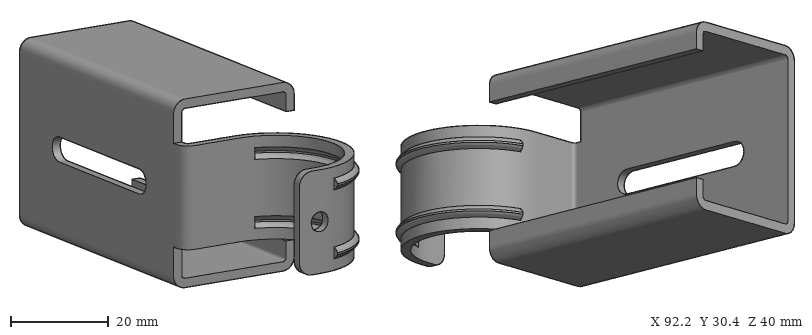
import cadquery as cq
import math

thickness = 2.0
bend_inner = 0.8
bend_outer = bend_inner + thickness

rail_length = 58.0
rail_height = 40.0
lip_height = 6.3

slot_spacing = 30.0
slot_width = 5.3
slot_center_x = 30.0

strap_width = 22.0
tongue_length = 1.0
leg_outer_x = rail_length + tongue_length + bend_inner
leg_inner_x = leg_outer_x + thickness
hook_inner_radius = 14.0
hook_outer_radius = hook_inner_radius + thickness
hook_x = leg_outer_x + hook_outer_radius
hook_y = 13.44
free_inner_x = hook_x + hook_inner_radius
free_outer_x = hook_x + hook_outer_radius
free_end_y = 8.75
free_end_corner = 3.0

rail_depth = hook_y + hook_outer_radius

screw_hole_diameter = 4.2
screw_hole_y = free_end_y + 5.0

bead_spacing = 14.6
bead_height = 1.0
bead_half_width = 1.25
bead_shoulder_height = 0.65
bead_shoulder_half_width = 0.7
bead_crest_half_width = 0.2
bead_start_angle = 14.9
bead_sweep = 180.0 - 2 * bead_start_angle


def make_rounded_bar(depth, height, corner_radius):
    """Solid bar along the rail, centred in Z, with its long edges rounded."""
    return (
        cq.Workplane("XY")
        .box(rail_length, depth, height, centered=(False, False, True))
        .edges("|X")
        .fillet(corner_radius)
    )


def make_rail():
    outside = make_rounded_bar(rail_depth, rail_height, bend_outer)
    inside = make_rounded_bar(
        rail_depth - 2 * thickness, rail_height - 2 * thickness, bend_inner
    ).translate((0, thickness, 0))
    opening = (
        cq.Workplane("XY")
        .box(rail_length, rail_depth, rail_height - 2 * lip_height, centered=(False, False, True))
        .translate((0, rail_depth / 2, 0))
    )
    slot = (
        cq.Workplane("XZ")
        .center(slot_center_x, 0)
        .slot2D(slot_spacing + slot_width, slot_width)
        .extrude(-thickness)
    )
    return outside.cut(inside).cut(opening).cut(slot)


def bend_midpoint(radius):
    """Middle of a quarter bend between the tongue and the leg."""
    offset = radius * math.sqrt(0.5)
    return (rail_length + tongue_length + offset, bend_outer - offset)


def make_strap():
    bend_x = rail_length + tongue_length
    strap = (
        cq.Workplane("XY")
        .moveTo(rail_length, 0)
        .lineTo(bend_x, 0)
        .threePointArc(bend_midpoint(bend_outer), (leg_inner_x, bend_outer))
        .lineTo(leg_inner_x, hook_y)
        .threePointArc((hook_x, hook_y + hook_inner_radius), (free_inner_x, hook_y))
        .lineTo(free_inner_x, free_end_y)
        .lineTo(free_outer_x, free_end_y)
        .lineTo(free_outer_x, hook_y)
        .threePointArc((hook_x, hook_y + hook_outer_radius), (leg_outer_x, hook_y))
        .lineTo(leg_outer_x, bend_outer)
        .threePointArc(bend_midpoint(bend_inner), (bend_x, thickness))
        .lineTo(rail_length, thickness)
        .close()
        .extrude(strap_width / 2, both=True)
    )
    free_end = (
        cq.Workplane("YZ", origin=(hook_x, 0, 0))
        .center(free_end_y + rail_depth / 2, 0)
        .rect(rail_depth, strap_width)
        .extrude(hook_outer_radius)
        .edges("|X and <Y")
        .fillet(free_end_corner)
    )
    leg_side = cq.Workplane("XY").box(
        hook_x, 2 * rail_depth, strap_width, centered=(False, True, True)
    )
    return strap.intersect(free_end.union(leg_side))


def make_bead(base_radius, z):
    """Bead-shaped ring sector around the hook, standing outward from a base radius."""
    root_radius = base_radius - thickness / 2
    shoulder_radius = base_radius + bead_shoulder_height
    crest_radius = base_radius + bead_height
    sector = (
        cq.Workplane("XZ")
        .moveTo(root_radius, -bead_half_width)
        .lineTo(base_radius, -bead_half_width)
        .lineTo(shoulder_radius, -bead_shoulder_half_width)
        .lineTo(crest_radius, -bead_crest_half_width)
        .lineTo(crest_radius, bead_crest_half_width)
        .lineTo(shoulder_radius, bead_shoulder_half_width)
        .lineTo(base_radius, bead_half_width)
        .lineTo(root_radius, bead_half_width)
        .close()
        .revolve(bead_sweep, (0, 0), (0, 1))
    )
    return sector.rotate((0, 0, 0), (0, 0, 1), bead_start_angle).translate((hook_x, hook_y, z))


def make_screw_hole():
    return (
        cq.Workplane("YZ", origin=(hook_x, screw_hole_y, 0))
        .circle(screw_hole_diameter / 2)
        .extrude(2 * hook_outer_radius)
    )


strap = make_strap()
for bead_z in (-bead_spacing / 2, bead_spacing / 2):
    strap = strap.union(make_bead(hook_outer_radius, bead_z))
    strap = strap.cut(make_bead(hook_inner_radius, bead_z))
strap = strap.cut(make_screw_hole())

result = make_rail().union(strap)